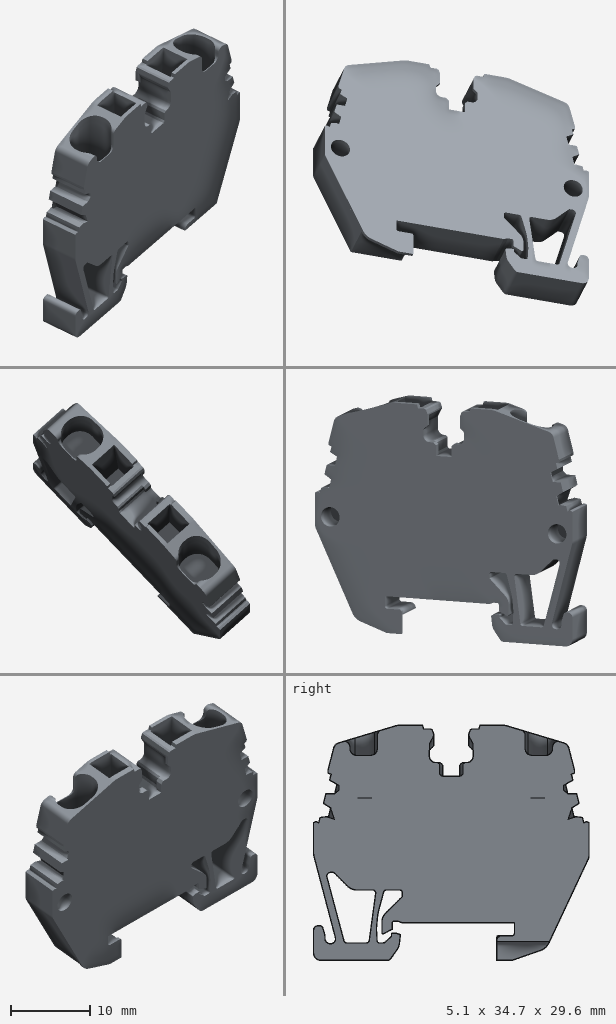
import cadquery as cq
import math

THICKNESS = 5.1
WIDTH = 34.7
HEIGHT = 29.65
COVER_THICKNESS = 0.45
HALF_WIDTH = WIDTH / 2

TOP_BEND_Y = 6.7
SHOULDER_Y = 14.68
SHOULDER_Z = 27.25
TOP_SLOPE = (HEIGHT - SHOULDER_Z) / (SHOULDER_Y - TOP_BEND_Y)

SLOT_FLOOR_Z = 23.2
SHELF_Z = 24.9
LIP_Y = 2.2
RECESS_Y = 2.75
LIP_BOTTOM_Z = 27.03
RECESS_TOP_Z = 26.48
WIDE_SLOT_X = 0.9
WIDE_SLOT_Y = 1.45
WIDE_SLOT_CHAMFER = 0.25
RAISED_LIP_BOTTOM_Z = 28.3
RAISED_RECESS_TOP_Z = 27.27

UPPER_NOTCH = [(15.35, 22.7), (14.4, 22.17), (14.68, 21.0)]
LOWER_NOTCH = [(16.1, 19.78), (15.2, 19.2), (15.48, 18.0)]
NOTCH_RELIEF_X = 0.25

RAIL_SEAT_Z = 4.72
HOOK_TIP_Y = 5.73
HOOK_ROOT_Y = 7.95
HOOK_TOP_Z = 3.12
HOOK_UNDERSIDE_Z = 2.4
HOOK_TIP_RADIUS = 0.7

SOCKET_DIAMETER = 2.5
SOCKET_DEPTH = 3.47
SOCKET_Y = 15.3
SOCKET_Z = 14.35

ENTRY_Y = 10.9
ENTRY_WIDTH = 4.65
ENTRY_LENGTH = 5.48
ENTRY_CORNER_RADIUS = 2.15
ENTRY_CENTER_X = 2.67
SHAFT_FLOOR_Z = 20.47

GAP_INNER_Y = 9.3
GAP_OUTER_Y = 12.77
GAP_FLOOR_Z = 25.8
GAP_FLOOR_RADIUS = 0.87
GAP_RIM_RADIUS = 0.7
GAP_RIM_REACH = 1.4

POCKET_MIN_X = 0.8
POCKET_MAX_X = 4.58
POCKET_INNER_Y = 3.33
POCKET_OUTER_Y_TOP = 7.0
POCKET_OUTER_Y_FLOOR = 6.2

CLEARANCE = 1.75

SIDES = (1, -1)


def outline(corners, x_start, x_end):
    """Extrude a closed (y, z) outline along X; a third value rounds that corner to that radius."""
    count = len(corners)
    starts, middles, ends = [], [], []
    for index, corner in enumerate(corners):
        here = cq.Vector(corner[0], corner[1])
        radius = corner[2] if len(corner) > 2 else 0
        if radius == 0:
            starts.append(here)
            middles.append(None)
            ends.append(here)
            continue
        back = (cq.Vector(*corners[index - 1][:2]) - here).normalized()
        ahead = (cq.Vector(*corners[(index + 1) % count][:2]) - here).normalized()
        half_angle = back.getAngle(ahead) / 2
        tangent_length = radius / math.tan(half_angle)
        middle_distance = radius / math.sin(half_angle) - radius
        starts.append(here + back * tangent_length)
        middles.append(here + (back + ahead).normalized() * middle_distance)
        ends.append(here + ahead * tangent_length)

    path = cq.Workplane("YZ", origin=(x_start, 0, 0)).moveTo(ends[-1].x, ends[-1].y)
    for start, middle, end in zip(starts, middles, ends):
        path = path.lineTo(start.x, start.y)
        if middle is not None:
            path = path.threePointArc((middle.x, middle.y), (end.x, end.y))
    return path.close().extrude(x_end - x_start)


def mirrored(corners, side):
    """Place (y, z) corners on the +Y side (1) or the -Y side (-1)."""
    return [(side * corner[0], *corner[1:]) for corner in corners]


def slope_z(y):
    """Height of the sloped top at distance y from the middle."""
    return HEIGHT - TOP_SLOPE * (y - TOP_BEND_Y)


UPPER_EDGE = [
    (1.05, SLOT_FLOOR_Z),
    (1.05, 24.57),
    (1.4, SHELF_Z),
    (RECESS_Y, SHELF_Z, 0.8),
    (RECESS_Y, RECESS_TOP_Z),
    (LIP_Y, LIP_BOTTOM_Z),
    (LIP_Y, 28.5),
    (2.4, 29.05),
    (2.65, 29.15),
    (3.47, 29.15),
    (3.6, HEIGHT),
    (TOP_BEND_Y, HEIGHT, 2.43),
    (SHOULDER_Y, SHOULDER_Z, 0.97),
    (15.55, 23.9),
    (15.5, 23.55),
    (15.13, 23.42),
    *UPPER_NOTCH,
    (15.8, 21.0),
    *LOWER_NOTCH,
    (15.65, 18.1),
    (16.5, 18.0),
    (16.7, 17.35),
    (17.05, 17.5),
    (HALF_WIDTH, 17.35),
]

RAIL_FOOT = [
    (HALF_WIDTH, 12.95, 1.05),
    (11.97, 1.5, 1.9),
    (7.67, 0),
    (HOOK_TIP_Y, 0),
    (HOOK_TIP_Y, HOOK_TOP_Z, 0.25),
    (HOOK_ROOT_Y, HOOK_TOP_Z, 0.3),
    (HOOK_ROOT_Y, RAIL_SEAT_Z),
    (-6.18, RAIL_SEAT_Z),
    (-6.73, 4.93),
    (-7.43, 4.93, 0.2),
    (-7.43, 3.92),
]
SPRING_GAP = [
    (-8.75, 3.23, 0.17),
    (-8.75, 5.48, 1.55),
    (-6.18, 8.0),
    (-6.18, 8.85, 0.3),
    (-8.43, 8.85, 0.3),
    (-9.23, 5.9, 6.95),
    (-9.4, 4.0, 1.75),
    (-9.3, 2.22, 0.2),
    (-8.4, 2.22, 0.35),
    (-7.53, 3.05),
    (-7.53, 3.45, 0.1),
]
LATCH_FOOT = [
    (-6.95, 3.45),
    (-6.4, 3.25, 0.1),
    (-6.55, 1.7, 1.75),
    (-7.77, 0, 0.52),
    (-HALF_WIDTH, 0, 0.95),
    (-HALF_WIDTH, 4.37, 0.6),
    (-16.25, 4.37, 0.38),
    (-15.9, 3.2, 0.7),
    (-15.9, 2.1, 0.65),
    (-14.4, 2.1, 0.6),
    (-HALF_WIDTH, 13.32, 1.4),
]
SPRING_WINDOW = [
    (-9.47, 8.85, 0.35),
    (-12.55, 8.85, 1.75),
    (-14.78, 11.07, 0.17),
    (-15.8, 11.07, 0.45),
    (-13.43, 2.22, 0.3),
    (-10.38, 2.22, 0.3),
]


def profile_plate(x_start, x_end):
    """Full silhouette of the terminal, with the window beside the latch spring."""
    right_half = mirrored(UPPER_EDGE, -1)
    corners = UPPER_EDGE + RAIL_FOOT + SPRING_GAP + LATCH_FOOT + right_half[::-1]
    return outline(corners, x_start, x_end).cut(outline(SPRING_WINDOW, x_start, x_end))


def socket(side):
    """Blind round hole through the cover into the housing."""
    return (
        cq.Workplane("YZ")
        .center(side * SOCKET_Y, SOCKET_Z)
        .circle(SOCKET_DIAMETER / 2)
        .extrude(SOCKET_DEPTH)
    )


def wire_entry(side):
    """Vertical shaft with an elongated round section."""
    return (
        cq.Workplane("XY", origin=(ENTRY_CENTER_X, side * ENTRY_Y, SHAFT_FLOOR_Z))
        .rect(ENTRY_WIDTH, ENTRY_LENGTH)
        .extrude(HEIGHT - SHAFT_FLOOR_Z)
        .edges("|Z")
        .fillet(ENTRY_CORNER_RADIUS)
    )


def entry_gap(side):
    """U-shaped gap with a rounded rim, open to the far side."""
    rim_start = GAP_INNER_Y - GAP_RIM_REACH
    rim_end = GAP_OUTER_Y + GAP_RIM_REACH
    above = HEIGHT + CLEARANCE
    corners = [
        (rim_start, above),
        (rim_start, slope_z(rim_start)),
        (GAP_INNER_Y, slope_z(GAP_INNER_Y), GAP_RIM_RADIUS),
        (GAP_INNER_Y, GAP_FLOOR_Z, GAP_FLOOR_RADIUS),
        (GAP_OUTER_Y, GAP_FLOOR_Z, GAP_FLOOR_RADIUS),
        (GAP_OUTER_Y, slope_z(GAP_OUTER_Y), GAP_RIM_RADIUS),
        (rim_end, slope_z(rim_end)),
        (rim_end, above),
    ]
    return outline(mirrored(corners, side), ENTRY_CENTER_X, THICKNESS)


def tool_pocket(side):
    """Vertical pocket whose outer wall tapers inward toward the floor."""
    corners = [
        (POCKET_INNER_Y, SHAFT_FLOOR_Z),
        (POCKET_OUTER_Y_FLOOR, SHAFT_FLOOR_Z),
        (POCKET_OUTER_Y_TOP, HEIGHT),
        (POCKET_INNER_Y, HEIGHT),
    ]
    return outline(mirrored(corners, side), POCKET_MIN_X, POCKET_MAX_X)


def slot_relief():
    """Wider slot with chamfers along its floor and its upper edges."""
    floor_y = WIDE_SLOT_Y - WIDE_SLOT_CHAMFER
    mouth_y = WIDE_SLOT_Y + WIDE_SLOT_CHAMFER
    half = [
        (floor_y, SLOT_FLOOR_Z),
        (WIDE_SLOT_Y, SLOT_FLOOR_Z + WIDE_SLOT_CHAMFER),
        (WIDE_SLOT_Y, SHELF_Z - WIDE_SLOT_CHAMFER),
        (mouth_y, SHELF_Z),
    ]
    return outline(half + mirrored(half, -1)[::-1], WIDE_SLOT_X, THICKNESS)


def lip_relief(side):
    """Raises the underside of the lip above the recess."""
    corners = [
        (LIP_Y, LIP_BOTTOM_Z),
        (RECESS_Y, RECESS_TOP_Z),
        (RECESS_Y, RAISED_RECESS_TOP_Z),
        (LIP_Y, RAISED_LIP_BOTTOM_Z),
    ]
    return outline(mirrored(corners, side), COVER_THICKNESS, THICKNESS)


def upper_notch_relief(side):
    """Extra depth behind the upper notch, with a sloped ledge at its bottom."""
    floor_corners = [(14.12, 21.45), (14.12, 22.05)]
    corners = UPPER_NOTCH[1:] + floor_corners
    return outline(mirrored(corners, side), NOTCH_RELIEF_X, THICKNESS)


def lower_notch_relief(side):
    """Extra depth behind the lower notch, leaning inward toward its bottom."""
    deepest_corner = (14.7, 17.75)
    corners = [*LOWER_NOTCH[1:], deepest_corner]
    return outline(mirrored(corners, side), NOTCH_RELIEF_X, THICKNESS)


def hook_relief():
    """Everything below the rail hook and around its rounded tip, on the +Y side."""
    hook_middle_y = (HOOK_TIP_Y + HOOK_ROOT_Y) / 2
    corners = [
        (0, 0),
        (HALF_WIDTH, 0),
        (HALF_WIDTH, HOOK_UNDERSIDE_Z),
        (HOOK_TIP_Y, HOOK_UNDERSIDE_Z),
        (HOOK_TIP_Y, HOOK_TOP_Z, HOOK_TIP_RADIUS),
        (hook_middle_y, HOOK_TOP_Z),
        (hook_middle_y, RAIL_SEAT_Z),
        (0, RAIL_SEAT_Z),
    ]
    return outline(corners, COVER_THICKNESS, THICKNESS)


def cut_openings(body):
    """Cut the openings; some reach into both bodies and some only into one."""
    body = body.cut(slot_relief())
    for side in SIDES:
        for opening in (
            socket,
            wire_entry,
            entry_gap,
            tool_pocket,
            lip_relief,
            upper_notch_relief,
            lower_notch_relief,
        ):
            body = body.cut(opening(side))
    return body


def make_cover():
    """Thin plate closing the -X side."""
    return cut_openings(profile_plate(0, COVER_THICKNESS))


def make_housing():
    """Deep body behind the cover, with a thinner rail hook."""
    return cut_openings(profile_plate(COVER_THICKNESS, THICKNESS)).cut(hook_relief())


cover = make_cover()
housing = make_housing()

result = cq.Compound.makeCompound([cover.val(), housing.val()])